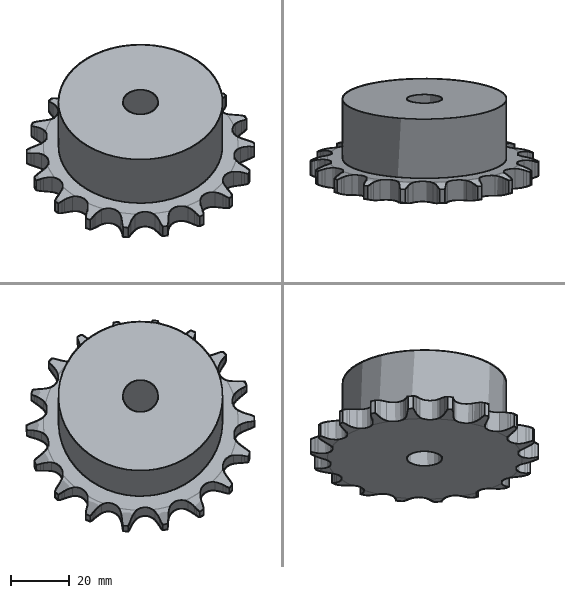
import cadquery as cq
import math

tooth_count = 18
chain_pitch = 12.7
roller_diameter = 8.5
seat_clearance = 0.1
outer_diameter = 77.8
plate_thickness = 7.15
hub_diameter = 56.0
bore_diameter = 12.0
total_height = 28.0
flat_diameter = 66.45
relief_depth = 1.25
cutter_overrun = 3.9

seat_ratio = 1.005
working_center_ratio = 0.8
tip_center_ratio = 1.4
seat_end_angle = math.radians(35 + 60 / tooth_count)
working_angle = math.radians(18 - 56 / tooth_count)

half_tooth_angle = math.pi / tooth_count
pitch_radius = chain_pitch / (2 * math.sin(half_tooth_angle))
outer_radius = outer_diameter / 2
flat_radius = flat_diameter / 2
seat_radius = (seat_ratio * roller_diameter + seat_clearance) / 2
working_center_offset = working_center_ratio * roller_diameter
working_radius = working_center_offset + seat_radius
tip_center_offset = tip_center_ratio * roller_diameter


def polar(center, radius, angle):
    """Point at a radius and angle (radians) from a center."""
    return (center[0] + radius * math.cos(angle), center[1] + radius * math.sin(angle))


def mirrored(point):
    """Point reflected in the center line of a tooth gap."""
    return (-point[0], point[1])


def tip_corner(center, radius):
    """Point on the gap side of the tip arc where it reaches the outer circle."""
    distance = math.hypot(*center)
    along = (outer_radius**2 - radius**2 + distance**2) / (2 * distance)
    spread = math.acos(along / outer_radius)
    return polar((0, 0), outer_radius, math.atan2(center[1], center[0]) + spread)


def tooth_gap():
    """Cutter for the gap centered on +Y, between two neighboring teeth."""
    seat_center = (0, pitch_radius)
    seat_bottom = (0, pitch_radius - seat_radius)
    seat_end = polar(seat_center, seat_radius, -seat_end_angle)

    working_center = polar(seat_center, working_center_offset, math.pi - seat_end_angle)
    working_end_angle = working_angle - seat_end_angle
    working_middle = polar(working_center, working_radius, working_angle / 2 - seat_end_angle)
    working_end = polar(working_center, working_radius, working_end_angle)

    tip_center = polar(seat_center, tip_center_offset, -half_tooth_angle)
    to_tip_center = (tip_center[0] - working_end[0], tip_center[1] - working_end[1])
    line_angle = working_end_angle + math.pi / 2
    line_length = to_tip_center[0] * math.cos(line_angle) + to_tip_center[1] * math.sin(line_angle)
    line_end = polar(working_end, line_length, line_angle)

    tip_radius = math.dist(tip_center, line_end)
    tip_end = tip_corner(tip_center, tip_radius)
    tip_start_angle = line_angle + math.pi / 2
    tip_end_angle = math.atan2(tip_end[1] - tip_center[1], tip_end[0] - tip_center[0])
    tip_middle = polar(tip_center, tip_radius, (tip_start_angle + tip_end_angle) / 2)

    cutter_top = (tip_end[0], outer_radius + cutter_overrun)
    return (
        cq.Workplane("XY")
        .moveTo(*seat_end)
        .threePointArc(working_middle, working_end)
        .lineTo(*line_end)
        .threePointArc(tip_middle, tip_end)
        .lineTo(*cutter_top)
        .lineTo(*mirrored(cutter_top))
        .lineTo(*mirrored(tip_end))
        .threePointArc(mirrored(tip_middle), mirrored(line_end))
        .lineTo(*mirrored(working_end))
        .threePointArc(mirrored(working_middle), mirrored(seat_end))
        .threePointArc(seat_bottom, seat_end)
        .close()
        .extrude(plate_thickness)
    )


def plate_blank():
    """Round plate whose rim curves in on both faces, tangent to the flat."""
    relief_length = outer_radius - flat_radius
    relief_radius = (relief_length**2 + relief_depth**2) / (2 * relief_depth)
    middle_angle = math.asin(relief_length / relief_radius) / 2
    middle_x = flat_radius + relief_radius * math.sin(middle_angle)
    middle_drop = relief_radius * (1 - math.cos(middle_angle))
    return (
        cq.Workplane("XZ")
        .lineTo(flat_radius, 0)
        .threePointArc((middle_x, middle_drop), (outer_radius, relief_depth))
        .lineTo(outer_radius, plate_thickness - relief_depth)
        .threePointArc((middle_x, plate_thickness - middle_drop), (flat_radius, plate_thickness))
        .lineTo(0, plate_thickness)
        .close()
        .revolve(360, (0, 0, 0), (0, 1, 0))
    )


sprocket = plate_blank()
gap = tooth_gap()
for index in range(tooth_count):
    sprocket = sprocket.cut(gap.rotate((0, 0, 0), (0, 0, 1), index * 360 / tooth_count))

hub = cq.Workplane("XY").circle(hub_diameter / 2).extrude(total_height)
bore = cq.Workplane("XY").circle(bore_diameter / 2).extrude(total_height)
result = sprocket.union(hub).cut(bore)